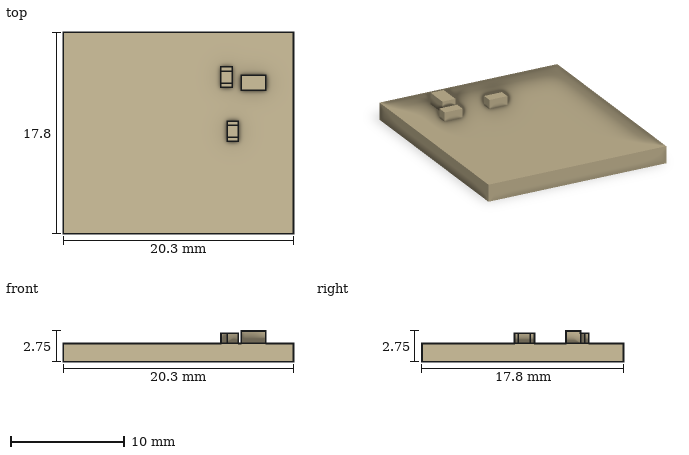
import cadquery as cq

BOARD_LENGTH = 20.32
BOARD_WIDTH = 17.78
TOTAL_HEIGHT = 2.75

BLOCK_LENGTH = 2.2
BLOCK_WIDTH = 1.3
BLOCK_HEIGHT = 1.1
BLOCK_CENTER = (6.62, 4.43)

BOARD_THICKNESS = TOTAL_HEIGHT - BLOCK_HEIGHT

CHIP_LENGTH = 1.79
CHIP_WIDTH = 1.0
CHIP_HEIGHT = 0.9
TERMINAL_LENGTH = 0.37
CHIP_CENTERS = [(4.25, 4.92), (4.8, 0.15)]

CHIP_BODY_LENGTH = CHIP_LENGTH - 2 * TERMINAL_LENGTH
TERMINAL_OFFSET = (CHIP_LENGTH - TERMINAL_LENGTH) / 2


def box_on_board(x_size, y_size, height, center):
    """Box standing on the top face of the board, centred at the given X and Y."""
    return (
        cq.Workplane("XY", origin=(*center, BOARD_THICKNESS))
        .box(x_size, y_size, height, centered=(True, True, False))
    )


def make_board():
    return cq.Workplane("XY").box(
        BOARD_LENGTH, BOARD_WIDTH, BOARD_THICKNESS, centered=(True, True, False)
    )


def make_block():
    return box_on_board(BLOCK_LENGTH, BLOCK_WIDTH, BLOCK_HEIGHT, BLOCK_CENTER)


def make_chip_body(center):
    return box_on_board(CHIP_WIDTH, CHIP_BODY_LENGTH, CHIP_HEIGHT, center)


def make_terminal(chip_center, side):
    """Terminal at the -Y (side = -1) or +Y (side = 1) end of a chip."""
    x, y = chip_center
    center = (x, y + side * TERMINAL_OFFSET)
    return box_on_board(CHIP_WIDTH, TERMINAL_LENGTH, CHIP_HEIGHT, center)


board = make_board()
block = make_block()

chip_bodies = []
terminals = []
for chip_center in CHIP_CENTERS:
    chip_bodies.append(make_chip_body(chip_center).val())
    for side in (-1, 1):
        terminals.append(make_terminal(chip_center, side).val())

result = cq.Compound.makeCompound([board.val(), block.val(), *chip_bodies, *terminals])